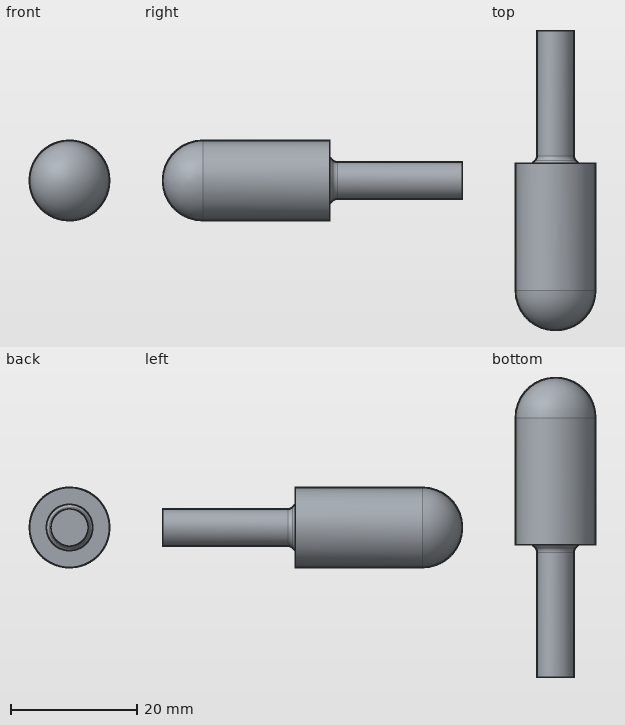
import cadquery as cq
import math

total_length = 47.5
body_diameter = 12.75
shank_diameter = 5.9
shank_length = 21.0
neck_height = 1.15
neck_fillet_radius = 1.0
neck_cone_angle = math.radians(45)

body_radius = body_diameter / 2
shank_radius = shank_diameter / 2

dome_end = body_radius
shoulder = total_length - shank_length
neck_top = shoulder + neck_height


def fillet_point(angle):
    """Point on the concave neck fillet, turned by angle from the shank line."""
    radius = shank_radius + neck_fillet_radius * (1 - math.cos(angle))
    position = neck_top - neck_fillet_radius * math.sin(angle)
    return radius, position


fillet_middle = fillet_point(neck_cone_angle / 2)
cone_top = fillet_point(neck_cone_angle)
cone_height = cone_top[1] - shoulder
cone_base_radius = cone_top[0] + cone_height * math.tan(neck_cone_angle)

dome_middle = (
    body_radius * math.sin(math.pi / 4),
    body_radius * (1 - math.cos(math.pi / 4)),
)

half_profile = (
    cq.Workplane("XY")
    .moveTo(0, 0)
    .threePointArc(dome_middle, (body_radius, dome_end))
    .lineTo(body_radius, shoulder)
    .lineTo(cone_base_radius, shoulder)
    .lineTo(*cone_top)
    .threePointArc(fillet_middle, (shank_radius, neck_top))
    .lineTo(shank_radius, total_length)
    .lineTo(0, total_length)
    .close()
)

result = half_profile.revolve(360, (0, 0, 0), (0, 1, 0))